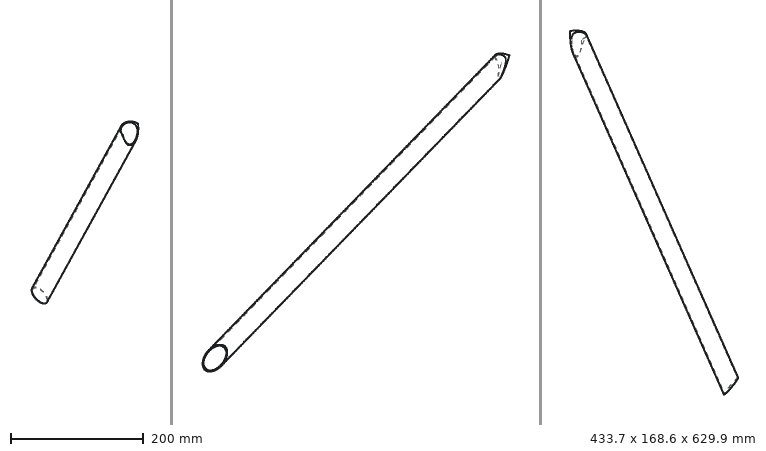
import cadquery as cq

outer_radius = 15.0
wall = 1.5

span = cq.Vector(418.0, -136.0, 610.5)
axis = span.normalized()
overrun = 63.0

mating_axis = cq.Vector(0, -1, 0)

saddle_axis = cq.Vector(0.26, 0.25, -0.93).normalized()
cutter_length = 252.0


def rod(radius, start, direction, length):
    return cq.Workplane(cq.Solid.makeCylinder(radius, length, start, direction))


def straight_tube():
    start = axis * -overrun
    length = span.Length + overrun
    outside = rod(outer_radius, start, axis, length)
    bore = rod(outer_radius - wall, start, axis, length)
    return outside.cut(bore)


def mitre_waste():
    """Block below the plane that bisects the tube and its mating tube."""
    normal = mating_axis - axis
    plane = cq.Plane(origin=(0, 0, 0), normal=normal.toTuple())
    return cq.Workplane(plane).rect(cutter_length, cutter_length).extrude(cutter_length)


def saddle_waste():
    """Crossing rod that leaves a fish-mouth at the upper end."""
    start = span - saddle_axis * (cutter_length / 2)
    return rod(outer_radius, start, saddle_axis, cutter_length)


result = straight_tube().cut(mitre_waste()).cut(saddle_waste())